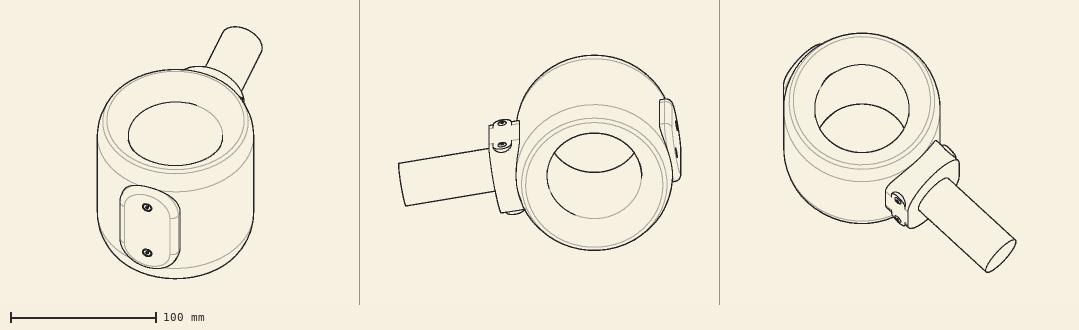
import cadquery as cq
import math

RING_RADIUS = 54.0
RING_HEIGHT = 106.2
BORE_RADIUS = 65.0 / 2
BAND_HEIGHT = 75.7
SHOULDER_RADIUS = 27.8
RIM_ROUNDING = 2.5
FUNNEL_RIM_SLOPE = 16

PAD_WIDTH = 42.6
PAD_HEIGHT = 78.3
PAD_FACE = 57.6
PAD_ROUNDING = 4.6
PAD_SCREW_SPACING = 44.7
PAD_RECESS_DIAMETER = 6.7
PAD_RECESS_DEPTH = 1.0

TOTAL_LENGTH = 192
COLLAR_WIDTH = 50.5
COLLAR_HEIGHT = 76.2
COLLAR_END = 69.3
HANDLE_RADIUS = 30.0 / 2
HANDLE_END = TOTAL_LENGTH - PAD_FACE

PLATE_WIDTH = 12.9
PLATE_HEIGHT = 48.2
PLATE_DEPTH = 4.8
PLATE_Y = 60.0
PLATE_SCREW_SPACING = 35.3

HEAD_DIAMETER = 5.8
BUTTON_HEIGHT = 1.0
CROWN_DIAMETER = 3.5
SOCKET_WIDTH = 2.0
SOCKET_DEPTH = 0.8


def make_ring():
    """Revolve the wall between the bore and the rounded outer surface."""
    top = RING_HEIGHT / 2
    band_top = BAND_HEIGHT / 2

    shoulder_centre_x = RING_RADIUS - SHOULDER_RADIUS
    rim_centre_z = top - RIM_ROUNDING
    rise = rim_centre_z - band_top
    run = math.sqrt((SHOULDER_RADIUS - RIM_ROUNDING) ** 2 - rise**2)
    rim_centre_x = shoulder_centre_x + run

    def on_rim(angle):
        return (
            rim_centre_x + RIM_ROUNDING * math.cos(angle),
            rim_centre_z + RIM_ROUNDING * math.sin(angle),
        )

    shoulder_end = on_rim(math.atan2(rise, run))
    funnel_start = on_rim(math.radians(90 + FUNNEL_RIM_SLOPE))
    upper_half = (
        cq.Workplane("XZ")
        .moveTo(BORE_RADIUS, 0)
        .lineTo(RING_RADIUS, 0)
        .lineTo(RING_RADIUS, band_top)
        .tangentArcPoint(shoulder_end, relative=False)
        .tangentArcPoint(funnel_start, relative=False)
        .tangentArcPoint((BORE_RADIUS, band_top), relative=False)
        .close()
        .revolve(360, (0, 0, 0), (0, 1, 0))
    )
    return upper_half.union(upper_half.mirror("XY"))


def make_pad():
    """Upright rounded pad with a softened front edge."""
    return (
        cq.Workplane("XZ")
        .slot2D(PAD_HEIGHT, PAD_WIDTH, 90)
        .extrude(PAD_FACE)
        .faces("<Y")
        .edges()
        .fillet(PAD_ROUNDING)
    )


def make_collar():
    """Slot-shaped collar carrying the round handle."""
    collar = cq.Workplane("XZ").slot2D(COLLAR_HEIGHT, COLLAR_WIDTH, 90).extrude(-COLLAR_END)
    handle = cq.Workplane("XZ").circle(HANDLE_RADIUS).extrude(-HANDLE_END)
    return collar.union(handle)


def make_socket():
    """Hexagonal key socket sinking from the XY plane."""
    return cq.Workplane("XY").polygon(6, SOCKET_WIDTH).extrude(-SOCKET_DEPTH)


def make_button_head():
    """Domed screw head with its seat on the XY plane and its crown toward +Z."""
    head_radius = HEAD_DIAMETER / 2
    crown_radius = CROWN_DIAMETER / 2
    dome_middle = (
        crown_radius + (head_radius - crown_radius) * math.cos(math.pi / 4),
        BUTTON_HEIGHT * math.sin(math.pi / 4),
    )
    head = (
        cq.Workplane("XZ")
        .lineTo(head_radius, 0)
        .threePointArc(dome_middle, (crown_radius, BUTTON_HEIGHT))
        .lineTo(0, BUTTON_HEIGHT)
        .close()
        .revolve(360, (0, 0, 0), (0, 1, 0))
    )
    return head.cut(make_socket().translate((0, 0, BUTTON_HEIGHT)))


def make_side_plate(side):
    """Nameplate with two screws on the collar flat; side is -1 or 1 along X."""
    face_x = side * COLLAR_WIDTH / 2
    plate = (
        cq.Workplane("YZ", origin=(face_x, PLATE_Y, 0))
        .slot2D(PLATE_HEIGHT, PLATE_WIDTH, 90)
        .extrude(-side * PLATE_DEPTH)
    )
    head = make_button_head().rotate((0, 0, 0), (0, 1, 0), side * 90)
    for end in (-1, 1):
        plate = plate.union(head.translate((face_x, PLATE_Y, end * PLATE_SCREW_SPACING / 2)))
    return plate


def cut_pad_screws(body):
    """Outline two flush screw heads with ring grooves and sink their key sockets."""
    groove = (
        cq.Workplane("XY")
        .circle(PAD_RECESS_DIAMETER / 2)
        .circle(HEAD_DIAMETER / 2)
        .extrude(-PAD_RECESS_DEPTH)
    )
    for cutter in (groove, make_socket()):
        facing_out = cutter.rotate((0, 0, 0), (1, 0, 0), 90)
        for end in (-1, 1):
            body = body.cut(facing_out.translate((0, -PAD_FACE, end * PAD_SCREW_SPACING / 2)))
    return body


bore = cq.Workplane("XY").circle(BORE_RADIUS).extrude(RING_HEIGHT / 2, both=True)
attachments = make_pad().union(make_collar()).cut(bore)
body = make_ring().union(attachments)
for side in (-1, 1):
    body = body.union(make_side_plate(side))
result = cut_pad_screws(body)